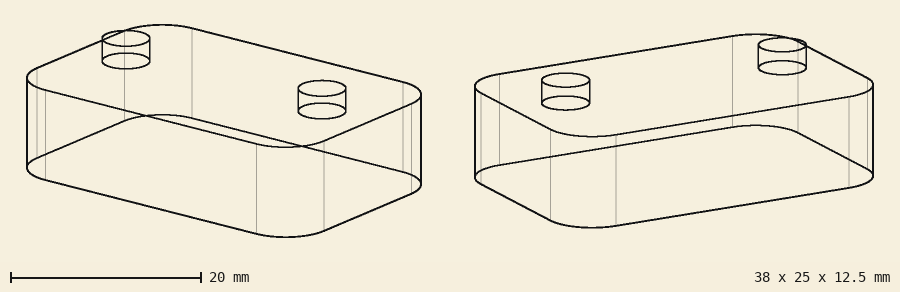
import cadquery as cq

block_length = 38.0
block_width = 25.0
block_height = 10.0
corner_radius = 5.0

pin_diameter = 5.0
pin_spacing = 26.0
total_height = 12.5
pin_height = total_height - block_height


def make_block():
    """Rounded block resting on Z = 0, centred in X and Y."""
    return (
        cq.Workplane("XY")
        .rect(block_length, block_width)
        .extrude(block_height)
        .edges("|Z")
        .fillet(corner_radius)
    )


def add_pins(body):
    """Add one pin on each side of the centre, along X."""
    return (
        body.faces(">Z")
        .workplane()
        .pushPoints([(-pin_spacing / 2, 0), (pin_spacing / 2, 0)])
        .circle(pin_diameter / 2)
        .extrude(pin_height)
    )


result = add_pins(make_block())